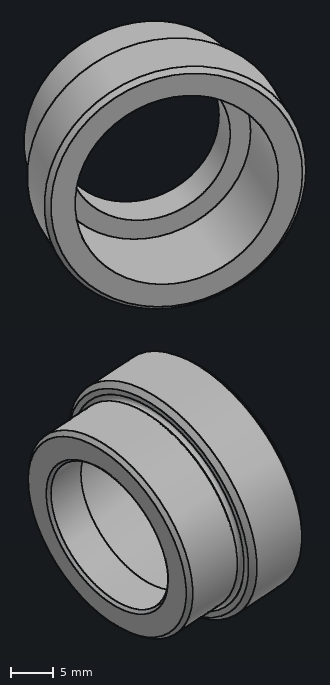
import cadquery as cq
import math

total_length = 17.1
flange_start = 8.4
rear_bore_start = 5.3

spigot_radius = 14.05
flange_radius = 16.1
bore_radius = 10.0
rear_bore_radius = 12.5

spigot_chamfer = 0.55
flange_front_chamfer = 0.7
flange_rear_chamfer = 0.63
bore_chamfer = 0.4

undercut_radius = 0.55


def revolve_about_x(profile):
    """Turn a closed XY profile a full circle about the X axis."""
    return profile.revolve(360, (0, 0, 0), (1, 0, 0))


def make_body():
    """Spigot and flange with chamfered rims and a round undercut in the corner between them."""
    undercut_diagonal = undercut_radius * math.sqrt(0.5)
    profile = (
        cq.Workplane("XY")
        .moveTo(0, 0)
        .lineTo(0, spigot_radius - spigot_chamfer)
        .lineTo(spigot_chamfer, spigot_radius)
        .lineTo(flange_start - undercut_radius, spigot_radius)
        .threePointArc(
            (flange_start + undercut_diagonal, spigot_radius - undercut_diagonal),
            (flange_start, spigot_radius + undercut_radius),
        )
        .lineTo(flange_start, flange_radius - flange_front_chamfer)
        .lineTo(flange_start + flange_front_chamfer, flange_radius)
        .lineTo(total_length - flange_rear_chamfer, flange_radius)
        .lineTo(total_length, flange_radius - flange_rear_chamfer)
        .lineTo(total_length, 0)
        .close()
    )
    return revolve_about_x(profile)


def make_bore():
    """Through bore with a chamfered mouth at the spigot end, wider towards the flange end."""
    profile = (
        cq.Workplane("XY")
        .moveTo(0, 0)
        .lineTo(0, bore_radius + bore_chamfer)
        .lineTo(bore_chamfer, bore_radius)
        .lineTo(rear_bore_start, bore_radius)
        .lineTo(rear_bore_start, rear_bore_radius)
        .lineTo(total_length, rear_bore_radius)
        .lineTo(total_length, 0)
        .close()
    )
    return revolve_about_x(profile)


result = make_body().cut(make_bore())